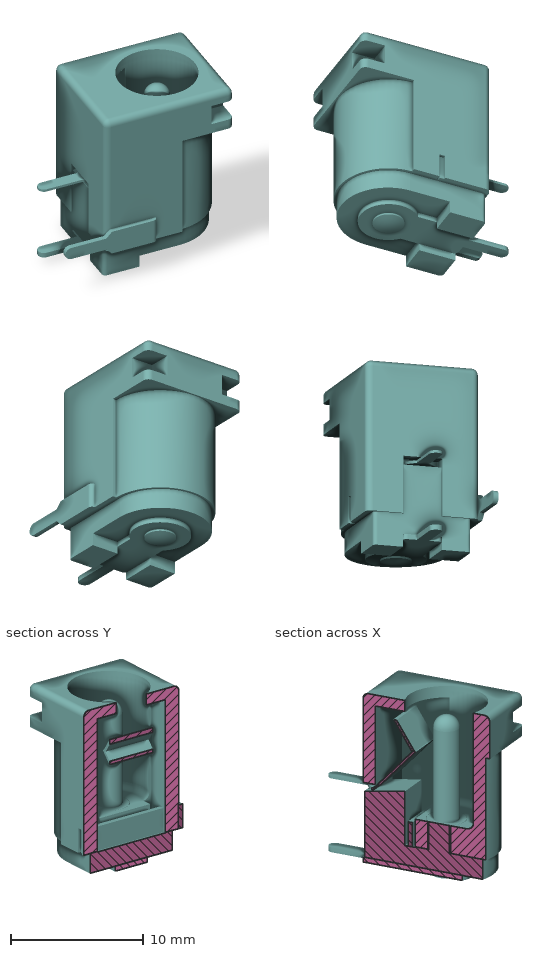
import cadquery as cq
import math


TOTAL_HEIGHT = 14.4
TOTAL_WIDTH = 9.36
HOUSING_WIDTH = 9.0
HOUSING_FRONT = -6.48
HOUSING_REAR = 4.32
HOUSING_BOTTOM = 2.6
HOUSING_EDGE_RADIUS = 0.5

COLLAR_BOTTOM = 10.9
BARREL_RADIUS = 4.18

NOTCH_SIZE = 1.9
NOTCH_BOTTOM = 11.72
NOTCH_TOP = 13.38

SOCKET_RADIUS = 3.15
SOCKET_FLOOR = 4.9
SOCKET_FLOOR_FILLET = 0.53

CHAMBER_TOP = 13.46
CHAMBER_HALF_WIDTH = 3.17
CHAMBER_FRONT = -5.4
CHAMBER_REAR = -1.21
SHELF_HALF_WIDTH = 2.35
SHELF_FRONT = -2.05

OPENING_HALF_WIDTH = 1.55
OPENING_TOP = 7.07

SIDE_SLOT_REAR = -2.12
SIDE_SLOT_FRONT = -2.6
SIDE_SLOT_TOP = 4.64

BASE_HALF_WIDTH = 3.89
BASE_FRONT = -6.34
BASE_REAR_CENTER = 0.06
BASE_UNDERSIDE = 1.0
BASE_CORNER_RADIUS = 0.3
FOOT_REAR = -3.31
FOOT_GAP_HALF_WIDTH = 1.55

TONGUE_HALF_WIDTH = 1.5
TONGUE_REAR = -2.88
TONGUE_FRONT_TOP = 6.42
TONGUE_REAR_TOP = 7.0

BOSS_RADIUS = 1.54
BOSS_CLEARANCE = 0.03

CENTER_PIN_RADIUS = 1.01
CENTER_PIN_TOP = 13.3
RIVET_RADIUS = 1.21
RIVET_RIM_HEIGHT = 0.15
RIVET_DOME_HEIGHT = 0.22

TERMINAL_TIP = -9.98
TERMINAL_WIDTH = 1.01
PLATE_THICKNESS = 0.4

EYELET_RADIUS = 2.33
EYELET_SHOULDER = -6.47
EYELET_CORNER_RADIUS = 0.36

SPRING_THICKNESS = 0.2
SPRING_BOTTOM = 6.6
STRIP_HALF_WIDTH = 1.25
STRIP_SHOULDER = -6.48
STRIP_BEND = -5.62
LEAF_HALF_WIDTH = 2.05
LEAF_FOOT = (-4.9, 7.2)
LEAF_CREST = (-1.96, 10.37)
LEAF_CREST_DEPTH = 0.1
LEAF_TIP = (-3.6, 12.67)
LEAF_DEPTH = 0.29

SIDE_CONTACT_REAR = -2.25
SIDE_CONTACT_TOP = 4.58
SIDE_CONTACT_END = -4.32
SIDE_CONTACT_BEND_RADIUS = 0.36
SIDE_CONTACT_TAPER_END = -6.57

half_width = HOUSING_WIDTH / 2
terminal_half_width = TERMINAL_WIDTH / 2
side_contact_outside = TOTAL_WIDTH - half_width
plate_bottom = BASE_UNDERSIDE - PLATE_THICKNESS


def block(x_range, y_range, z_range):
    """Axis-aligned box between the given limits."""
    sizes = [limits[1] - limits[0] for limits in (x_range, y_range, z_range)]
    corner = (x_range[0], y_range[0], z_range[0])
    return cq.Workplane("XY").box(*sizes, centered=False).translate(corner)


def cylinder(radius, bottom, top):
    """Cylinder on the socket axis."""
    return cq.Workplane("XY").workplane(offset=bottom).circle(radius).extrude(top - bottom)


def side_profile(points, half_breadth):
    """Outline of (y, z) points extruded equally to both sides of X = 0."""
    return cq.Workplane("YZ").polyline(points).close().extrude(half_breadth, both=True)


def make_housing_shell():
    """Rounded block whose rear becomes a barrel below the collar."""
    depth = (HOUSING_FRONT, HOUSING_REAR)
    shell = block((-half_width, half_width), depth, (HOUSING_BOTTOM, TOTAL_HEIGHT))
    shell = shell.edges("|Z or >Z").fillet(HOUSING_EDGE_RADIUS)

    barrel = cylinder(BARREL_RADIUS, HOUSING_BOTTOM, COLLAR_BOTTOM)
    rear_waste = block((-half_width, half_width), (0, HOUSING_REAR), (HOUSING_BOTTOM, COLLAR_BOTTOM))
    shell = shell.cut(rear_waste.cut(barrel))

    notch_depth = (HOUSING_REAR - NOTCH_SIZE, HOUSING_REAR)
    for notch_start in (-half_width, half_width - NOTCH_SIZE):
        notch_span = (notch_start, notch_start + NOTCH_SIZE)
        shell = shell.cut(block(notch_span, notch_depth, (NOTCH_BOTTOM, NOTCH_TOP)))
    return shell


def make_socket():
    """Round socket with a filleted floor that runs out flat as a shelf in front."""
    bore = cylinder(SOCKET_RADIUS, SOCKET_FLOOR, TOTAL_HEIGHT)
    bore = bore.faces("<Z").edges().fillet(SOCKET_FLOOR_FILLET)
    shelf_space = block(
        (-SHELF_HALF_WIDTH, SHELF_HALF_WIDTH),
        (SHELF_FRONT, CHAMBER_REAR),
        (SOCKET_FLOOR, SOCKET_FLOOR + SOCKET_FLOOR_FILLET),
    )
    return bore.union(shelf_space)


def make_spring_chamber():
    """T-shaped cavity in which the spring leaf moves, open to the base."""
    outline = [
        (-CHAMBER_HALF_WIDTH, CHAMBER_FRONT),
        (CHAMBER_HALF_WIDTH, CHAMBER_FRONT),
        (CHAMBER_HALF_WIDTH, CHAMBER_REAR),
        (SHELF_HALF_WIDTH, CHAMBER_REAR),
        (SHELF_HALF_WIDTH, SHELF_FRONT),
        (-SHELF_HALF_WIDTH, SHELF_FRONT),
        (-SHELF_HALF_WIDTH, CHAMBER_REAR),
        (-CHAMBER_HALF_WIDTH, CHAMBER_REAR),
    ]
    plan = cq.Workplane("XY").workplane(offset=HOUSING_BOTTOM).polyline(outline).close()
    return plan.extrude(CHAMBER_TOP - HOUSING_BOTTOM)


def make_housing(side_contact):
    housing = make_housing_shell()

    boss_hole = cylinder(BOSS_RADIUS + BOSS_CLEARANCE, HOUSING_BOTTOM, SOCKET_FLOOR)
    tongue_opening = block(
        (-OPENING_HALF_WIDTH, OPENING_HALF_WIDTH),
        (HOUSING_FRONT, CHAMBER_FRONT),
        (HOUSING_BOTTOM, OPENING_TOP),
    )
    side_slot = block(
        (-half_width, -CHAMBER_HALF_WIDTH),
        (SIDE_SLOT_FRONT, SIDE_SLOT_REAR),
        (HOUSING_BOTTOM, SIDE_SLOT_TOP),
    )
    for cavity in (make_socket(), boss_hole, make_spring_chamber(), tongue_opening, side_slot):
        housing = housing.cut(cavity)

    return housing.cut(side_contact)


def make_base():
    """Plug with two feet, a front tongue and a boss around the centre pin."""
    base = (
        cq.Workplane("XY")
        .moveTo(-BASE_HALF_WIDTH, BASE_FRONT)
        .lineTo(BASE_HALF_WIDTH, BASE_FRONT)
        .lineTo(BASE_HALF_WIDTH, BASE_REAR_CENTER)
        .threePointArc((0, BASE_REAR_CENTER + BASE_HALF_WIDTH), (-BASE_HALF_WIDTH, BASE_REAR_CENTER))
        .close()
        .extrude(HOUSING_BOTTOM)
    )
    base = base.edges("|Z and <Y").fillet(BASE_CORNER_RADIUS)

    rear_y = BASE_REAR_CENTER + BASE_HALF_WIDTH
    rear_relief = block((-BASE_HALF_WIDTH, BASE_HALF_WIDTH), (FOOT_REAR, rear_y), (0, BASE_UNDERSIDE))
    foot_gap = block(
        (-FOOT_GAP_HALF_WIDTH, FOOT_GAP_HALF_WIDTH),
        (BASE_FRONT, FOOT_REAR),
        (0, BASE_UNDERSIDE),
    )
    base = base.cut(rear_relief).cut(foot_gap)

    tongue = side_profile(
        [
            (BASE_FRONT, HOUSING_BOTTOM),
            (TONGUE_REAR, HOUSING_BOTTOM),
            (TONGUE_REAR, TONGUE_REAR_TOP),
            (BASE_FRONT, TONGUE_FRONT_TOP),
        ],
        TONGUE_HALF_WIDTH,
    )
    boss = cylinder(BOSS_RADIUS, HOUSING_BOTTOM, SOCKET_FLOOR)
    pin_hole = cylinder(CENTER_PIN_RADIUS, BASE_UNDERSIDE, SOCKET_FLOOR)
    return base.union(tongue).union(boss).cut(pin_hole)


def make_center_pin():
    """Round-nosed pin with a shallow domed rivet head under the eyelet terminal."""
    rim_bottom = plate_bottom - RIVET_RIM_HEIGHT
    dome_bottom = rim_bottom - RIVET_DOME_HEIGHT
    dome_radius = (RIVET_RADIUS**2 + RIVET_DOME_HEIGHT**2) / (2 * RIVET_DOME_HEIGHT)
    half_angle = math.asin(RIVET_RADIUS / dome_radius) / 2
    dome_middle = (
        dome_radius * math.sin(half_angle),
        dome_bottom + dome_radius * (1 - math.cos(half_angle)),
    )
    nose_center = CENTER_PIN_TOP - CENTER_PIN_RADIUS
    nose_middle = (
        CENTER_PIN_RADIUS * math.cos(math.pi / 4),
        nose_center + CENTER_PIN_RADIUS * math.sin(math.pi / 4),
    )
    return (
        cq.Workplane("XZ")
        .moveTo(0, dome_bottom)
        .threePointArc(dome_middle, (RIVET_RADIUS, rim_bottom))
        .lineTo(RIVET_RADIUS, plate_bottom)
        .lineTo(CENTER_PIN_RADIUS, plate_bottom)
        .lineTo(CENTER_PIN_RADIUS, nose_center)
        .threePointArc(nose_middle, (0, CENTER_PIN_TOP))
        .close()
        .revolve(360, (0, 0, 0), (0, 1, 0))
    )


def make_prong(root, bottom, thickness):
    """Flat terminal prong with a full-round tip, from Y = root to the tip."""
    round_start = TERMINAL_TIP + terminal_half_width
    return (
        cq.Workplane("XY")
        .workplane(offset=bottom)
        .moveTo(terminal_half_width, root)
        .lineTo(terminal_half_width, round_start)
        .threePointArc((0, TERMINAL_TIP), (-terminal_half_width, round_start))
        .lineTo(-terminal_half_width, root)
        .close()
        .extrude(thickness)
    )


def make_eyelet_terminal():
    """Plate riveted under the base by the centre pin."""
    eyelet = cylinder(EYELET_RADIUS, plate_bottom, BASE_UNDERSIDE)
    strip = block(
        (-FOOT_GAP_HALF_WIDTH, FOOT_GAP_HALF_WIDTH),
        (EYELET_SHOULDER, 0),
        (plate_bottom, BASE_UNDERSIDE),
    )
    strip = strip.edges("|Z and <Y").fillet(EYELET_CORNER_RADIUS)
    prong = make_prong(EYELET_SHOULDER, plate_bottom, PLATE_THICKNESS)
    pin_hole = cylinder(CENTER_PIN_RADIUS, plate_bottom, BASE_UNDERSIDE)
    return eyelet.union(strip).union(prong).cut(pin_hole)


def make_spring_contact():
    """Thin terminal that lies over the tongue and rises as a leaf beside the socket."""
    prong = make_prong(STRIP_SHOULDER, SPRING_BOTTOM, SPRING_THICKNESS)
    taper_start = STRIP_SHOULDER + STRIP_HALF_WIDTH - terminal_half_width
    strip = (
        cq.Workplane("XY")
        .workplane(offset=SPRING_BOTTOM)
        .polyline(
            [
                (-terminal_half_width, STRIP_SHOULDER),
                (terminal_half_width, STRIP_SHOULDER),
                (STRIP_HALF_WIDTH, taper_start),
                (STRIP_HALF_WIDTH, STRIP_BEND),
                (-STRIP_HALF_WIDTH, STRIP_BEND),
                (-STRIP_HALF_WIDTH, taper_start),
            ]
        )
        .close()
        .extrude(SPRING_THICKNESS)
    )

    foot_y, foot_z = LEAF_FOOT
    ramp = side_profile(
        [
            (STRIP_BEND, SPRING_BOTTOM),
            (foot_y, foot_z),
            (foot_y, foot_z + SPRING_THICKNESS),
            (STRIP_BEND, SPRING_BOTTOM + SPRING_THICKNESS),
        ],
        STRIP_HALF_WIDTH,
    )

    crest_y, crest_z = LEAF_CREST
    leaf_rear = [LEAF_FOOT, LEAF_CREST, (crest_y - LEAF_CREST_DEPTH, crest_z), LEAF_TIP]
    leaf_front = [(y - LEAF_DEPTH, z) for y, z in leaf_rear]
    leaf = side_profile(leaf_rear + leaf_front[::-1], LEAF_HALF_WIDTH)
    return prong.union(strip).union(ramp).union(leaf)


def make_side_contact():
    """Bent plate on the +X side, with a leg that crosses the jack to the -X slot."""
    inside = side_contact_outside - PLATE_THICKNESS
    middle = (HOUSING_BOTTOM + SIDE_CONTACT_TOP) / 2
    half_height = (SIDE_CONTACT_TOP - HOUSING_BOTTOM) / 2
    taper_start = SIDE_CONTACT_TAPER_END + half_height - terminal_half_width
    round_start = TERMINAL_TIP + terminal_half_width

    plate = (
        cq.Workplane("YZ")
        .workplane(offset=inside)
        .moveTo(SIDE_CONTACT_REAR, SIDE_CONTACT_TOP)
        .lineTo(taper_start, SIDE_CONTACT_TOP)
        .lineTo(SIDE_CONTACT_TAPER_END, middle + terminal_half_width)
        .lineTo(round_start, middle + terminal_half_width)
        .threePointArc((TERMINAL_TIP, middle), (round_start, middle - terminal_half_width))
        .lineTo(SIDE_CONTACT_TAPER_END, middle - terminal_half_width)
        .lineTo(taper_start, HOUSING_BOTTOM)
        .lineTo(SIDE_CONTACT_REAR, HOUSING_BOTTOM)
        .close()
        .extrude(PLATE_THICKNESS)
    )
    leg = block(
        (SIDE_CONTACT_END, side_contact_outside),
        (SIDE_CONTACT_REAR - PLATE_THICKNESS, SIDE_CONTACT_REAR),
        (HOUSING_BOTTOM, SIDE_CONTACT_TOP),
    )
    bend = cq.selectors.NearestToPointSelector((side_contact_outside, SIDE_CONTACT_REAR, middle))
    return plate.union(leg).edges(bend).fillet(SIDE_CONTACT_BEND_RADIUS)


side_contact = make_side_contact()
housing = make_housing(side_contact)
base = make_base()
center_pin = make_center_pin()
eyelet_terminal = make_eyelet_terminal()
spring_contact = make_spring_contact()

bodies = [housing, base, center_pin, eyelet_terminal, spring_contact, side_contact]
result = cq.Compound.makeCompound([body.solids().val() for body in bodies])